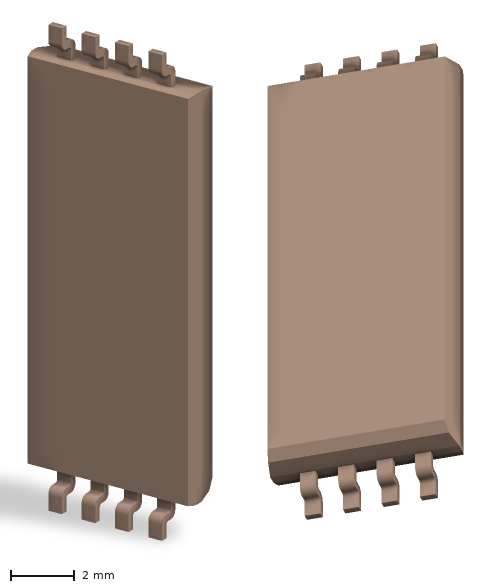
import cadquery as cq
import math

body_width = 6.25
body_length = 14.05
overall_length = 16.61
overall_depth = 1.7

front_layer = 0.3
middle_band = 0.35
back_layer = 0.9
draft_angle = 12
pin_one_bevel_depth = 0.25
pin_one_bevel_height = 0.35

leads_per_end = 4
lead_pitch = 1.27
lead_width = 0.52
lead_thickness = 0.25
bend_inner_radius = 0.1
bend_outer_radius = 0.26
foot_length = 0.81
lead_embed = 0.5

y_foot_front = -overall_depth / 2
y_back = overall_depth / 2
y_band_back = y_back - back_layer
y_band_front = y_band_back - middle_band
y_lead = (y_band_front + y_band_back) / 2

z_tip = overall_length / 2


def body_layer(y_start, depth, taper):
    """Rectangular layer growing from y_start by a signed depth along Y."""
    return (
        cq.Workplane("XZ", origin=(0, y_start, 0))
        .rect(body_width, body_length)
        .extrude(-depth, taper=taper)
    )


def make_body():
    """Moulded body with drafted front and back layers."""
    band = body_layer(y_band_front, middle_band, 0)
    front = body_layer(y_band_front, -front_layer, draft_angle)
    back = body_layer(y_band_back, back_layer, draft_angle)
    return band.union(front).union(back)


def make_pin_one_bevel():
    """Wedge removed along the whole lower back edge of the body."""
    draft_slope = math.tan(math.radians(draft_angle))
    z_edge = -body_length / 2 + back_layer * draft_slope
    y_bevel = y_back - pin_one_bevel_depth
    z_bevel = z_edge - pin_one_bevel_depth * draft_slope
    wedge = [
        (y_back, z_bevel + pin_one_bevel_height),
        (y_bevel, z_bevel),
        (y_back, z_bevel),
    ]
    return cq.Workplane("YZ").polyline(wedge).close().extrude(body_width / 2, both=True)


def make_lead():
    """Top-end lead centred on X = 0: shank, two bends and a foot."""
    y_shank_back = y_lead + lead_thickness / 2
    y_shank_front = y_lead - lead_thickness / 2
    y_foot_back = y_foot_front + lead_thickness
    z_root = body_length / 2 - lead_embed
    z_arm_low = z_tip - foot_length
    z_arm_high = z_arm_low + lead_thickness
    profile = (
        cq.Workplane("YZ")
        .moveTo(y_shank_back, z_root)
        .lineTo(y_shank_back, z_arm_high - bend_outer_radius)
        .radiusArc((y_shank_back - bend_outer_radius, z_arm_high), -bend_outer_radius)
        .lineTo(y_foot_back + bend_inner_radius, z_arm_high)
        .radiusArc((y_foot_back, z_arm_high + bend_inner_radius), bend_inner_radius)
        .lineTo(y_foot_back, z_tip)
        .lineTo(y_foot_front, z_tip)
        .lineTo(y_foot_front, z_arm_low + bend_outer_radius)
        .radiusArc((y_foot_front + bend_outer_radius, z_arm_low), -bend_outer_radius)
        .lineTo(y_shank_front - bend_inner_radius, z_arm_low)
        .radiusArc((y_shank_front, z_arm_low - bend_inner_radius), bend_inner_radius)
        .lineTo(y_shank_front, z_root)
        .close()
    )
    return profile.extrude(lead_width / 2, both=True)


result = make_body().cut(make_pin_one_bevel())
top_lead = make_lead()
bottom_lead = top_lead.mirror("XY")
for index in range(leads_per_end):
    x_lead = (index - (leads_per_end - 1) / 2) * lead_pitch
    for lead in (top_lead, bottom_lead):
        result = result.union(lead.translate((x_lead, 0, 0)))